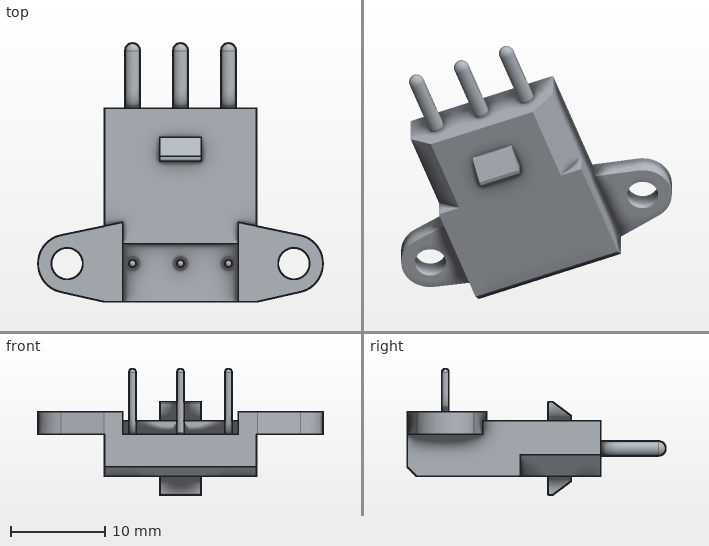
import cadquery as cq
import math

BODY_WIDTH = 16.1
BODY_LENGTH = 20.5
BODY_HEIGHT = 5.9
FRONT_CHAMFER = 1.0

KEY_BEVEL_START = 12.0
KEY_BEVEL_HEIGHT = 2.3
KEY_BEVEL_WIDTH = 2.3

EAR_HOLE_SPACING = 24.0
EAR_CENTRE_Y = 4.05
EAR_RADIUS = 3.09
EAR_HOLE_DIAMETER = 3.3
EAR_ROOT_REAR_Y = 8.43
EAR_FRONT_CORNER_X = 8.1
EAR_THICKNESS = 2.4
EAR_TOP = 6.85
EAR_BOTTOM = EAR_TOP - EAR_THICKNESS
RECESS_WIDTH = 12.2
RECESS_LENGTH = 6.15

PIN_COUNT = 3
PIN_PITCH = 5.08
PLUG_PIN_DIAMETER = 1.6
PLUG_PIN_LENGTH = 6.9
SOLDER_PIN_DIAMETER = 0.76
SOLDER_PIN_TOP = 11.4

LATCH_WIDTH = 4.35
LATCH_LENGTH = 2.5
LATCH_HEIGHT = 2.0
LATCH_CATCH_Y = 14.9
LATCH_LOW_HEIGHT = 0.5
LATCH_CREST = 0.5
LATCH_ROUND = 0.15


def make_body():
    """Block with a chamfered lower front edge and two bevels under the plug end."""
    body = cq.Workplane("XY").box(BODY_WIDTH, BODY_LENGTH, BODY_HEIGHT, centered=(True, False, False))
    body = body.faces("<Y").edges("<Z").chamfer(FRONT_CHAMFER)
    for side in (-1, 1):
        edge_x = side * BODY_WIDTH / 2
        bevel = (
            cq.Workplane("XZ", origin=(0, BODY_LENGTH, 0))
            .moveTo(edge_x, 0)
            .lineTo(edge_x, KEY_BEVEL_HEIGHT)
            .lineTo(edge_x - side * KEY_BEVEL_WIDTH, 0)
            .close()
            .extrude(BODY_LENGTH - KEY_BEVEL_START)
        )
        body = body.cut(bevel)
    return body


def make_recess():
    """Space cleared from the top of the body between the ears."""
    return (
        cq.Workplane("XY", origin=(0, 0, EAR_BOTTOM))
        .box(RECESS_WIDTH, RECESS_LENGTH, EAR_THICKNESS, centered=(True, False, False))
    )


def tangent_point(hole_x, corner_x, corner_offset):
    """X and Y offset, for the +X ear, where a flank from the given corner touches the rounded end."""
    reach = hole_x - corner_x
    corner_angle = math.atan2(corner_offset, reach)
    tangent_angle = corner_angle + math.acos(EAR_RADIUS / math.hypot(reach, corner_offset))
    return hole_x - EAR_RADIUS * math.cos(tangent_angle), EAR_RADIUS * math.sin(tangent_angle)


def make_ear(side):
    """Tapered ear whose straight flanks run tangent into the rounded end; side is +1 or -1 along X."""
    hole_x = EAR_HOLE_SPACING / 2
    root_x = RECESS_WIDTH / 2
    rear_x, rear_offset = tangent_point(hole_x, root_x, EAR_ROOT_REAR_Y - EAR_CENTRE_Y)
    front_x, front_offset = tangent_point(hole_x, EAR_FRONT_CORNER_X, EAR_CENTRE_Y)

    ear = (
        cq.Workplane("XY", origin=(0, 0, EAR_BOTTOM))
        .moveTo(side * root_x, 0)
        .lineTo(side * root_x, EAR_ROOT_REAR_Y)
        .lineTo(side * rear_x, EAR_CENTRE_Y + rear_offset)
        .threePointArc(
            (side * (hole_x + EAR_RADIUS), EAR_CENTRE_Y),
            (side * front_x, EAR_CENTRE_Y - front_offset),
        )
        .lineTo(side * EAR_FRONT_CORNER_X, 0)
        .close()
        .extrude(EAR_THICKNESS)
    )
    hole = (
        cq.Workplane("XY", origin=(side * hole_x, EAR_CENTRE_Y, EAR_BOTTOM))
        .circle(EAR_HOLE_DIAMETER / 2)
        .extrude(EAR_THICKNESS)
    )
    return ear.cut(hole)


def make_pin(diameter, length):
    """Upright round pin with a hemispherical tip, standing on the origin."""
    radius = diameter / 2
    shank_length = length - radius
    shank = cq.Workplane("XY").circle(radius).extrude(shank_length)
    tip = cq.Workplane("XY").sphere(radius).translate((0, 0, shank_length))
    return shank.union(tip)


def make_latch():
    """Wedge on the upper face: steep catch toward the flange, ramp toward the plug end."""
    low_y = LATCH_CATCH_Y + LATCH_LENGTH
    top_z = BODY_HEIGHT + LATCH_HEIGHT
    return (
        cq.Workplane("YZ")
        .moveTo(LATCH_CATCH_Y, BODY_HEIGHT)
        .lineTo(low_y, BODY_HEIGHT)
        .lineTo(low_y, BODY_HEIGHT + LATCH_LOW_HEIGHT)
        .lineTo(LATCH_CATCH_Y + LATCH_CREST, top_z)
        .lineTo(LATCH_CATCH_Y, top_z)
        .close()
        .extrude(LATCH_WIDTH / 2, both=True)
        .faces("<Y")
        .edges(">Z")
        .fillet(LATCH_ROUND)
    )


result = make_body().cut(make_recess())

for ear_side in (-1, 1):
    result = result.union(make_ear(ear_side))

plug_pin = make_pin(PLUG_PIN_DIAMETER, PLUG_PIN_LENGTH).rotate((0, 0, 0), (1, 0, 0), -90)
solder_pin = make_pin(SOLDER_PIN_DIAMETER, SOLDER_PIN_TOP - EAR_BOTTOM)
for index in range(PIN_COUNT):
    pin_x = (index - (PIN_COUNT - 1) / 2) * PIN_PITCH
    result = result.union(plug_pin.translate((pin_x, BODY_LENGTH, BODY_HEIGHT / 2)))
    result = result.union(solder_pin.translate((pin_x, EAR_CENTRE_Y, EAR_BOTTOM)))

upper_latch = make_latch()
lower_latch = upper_latch.mirror("XY", (0, 0, BODY_HEIGHT / 2))
result = result.union(upper_latch).union(lower_latch)